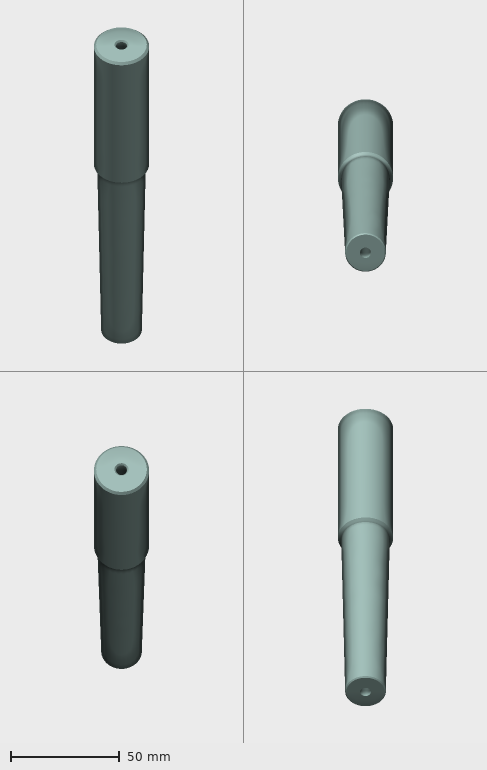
import cadquery as cq

total_length = 180.0
head_diameter = 25.4
head_length = 75.0

shank_top_radius = 11.2
shank_tip_radius = 9.4

head_chamfer = 1.0
shoulder_height = 1.5
tip_chamfer = 0.5

bore_radius = 2.5
bore_chamfer = 0.7

head_radius = head_diameter / 2
head_bottom = total_length - head_length
shank_top = head_bottom - shoulder_height


def make_body():
    """Revolve the half profile (radius, height) about the Z axis."""
    return (
        cq.Workplane("XZ")
        .moveTo(0, 0)
        .lineTo(shank_tip_radius - tip_chamfer, 0)
        .lineTo(shank_tip_radius, tip_chamfer)
        .lineTo(shank_top_radius, shank_top)
        .lineTo(head_radius, head_bottom)
        .lineTo(head_radius, total_length - head_chamfer)
        .lineTo(head_radius - head_chamfer, total_length)
        .lineTo(0, total_length)
        .close()
        .revolve(360, (0, 0, 0), (0, 1, 0))
    )


def cut_bore(body):
    """Bore along the full length, then break the upper edge."""
    bored = body.faces(">Z").workplane().hole(2 * bore_radius)
    mouth = bored.faces(">Z").edges(cq.selectors.RadiusNthSelector(0))
    return mouth.chamfer(bore_chamfer)


result = cut_bore(make_body())